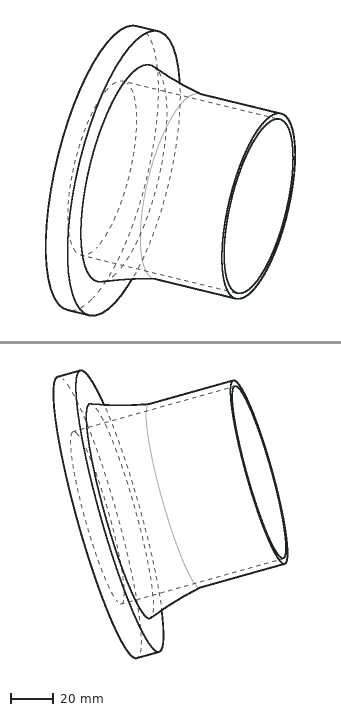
import cadquery as cq
import math

flange_diameter = 138.0
tube_diameter = 90.0
bore_diameter = 84.5
total_length = 80.0

flange_thickness = 11.2
neck_base_diameter = 105.2
neck_length = 27.0
neck_sag = 0.6

flange_radius = flange_diameter / 2
tube_radius = tube_diameter / 2
bore_radius = bore_diameter / 2
neck_base_radius = neck_base_diameter / 2
neck_end = flange_thickness + neck_length

neck_rise = neck_base_radius - tube_radius
neck_chord = math.hypot(neck_length, neck_rise)
neck_middle = (
    flange_thickness + neck_length / 2 - neck_sag * neck_rise / neck_chord,
    tube_radius + neck_rise / 2 - neck_sag * neck_length / neck_chord,
)

half_section = (
    cq.Workplane("XY")
    .moveTo(0, bore_radius)
    .lineTo(0, flange_radius)
    .lineTo(flange_thickness, flange_radius)
    .lineTo(flange_thickness, neck_base_radius)
    .threePointArc(neck_middle, (neck_end, tube_radius))
    .lineTo(total_length, tube_radius)
    .lineTo(total_length, bore_radius)
    .close()
)

result = half_section.revolve(360, (0, 0, 0), (1, 0, 0))